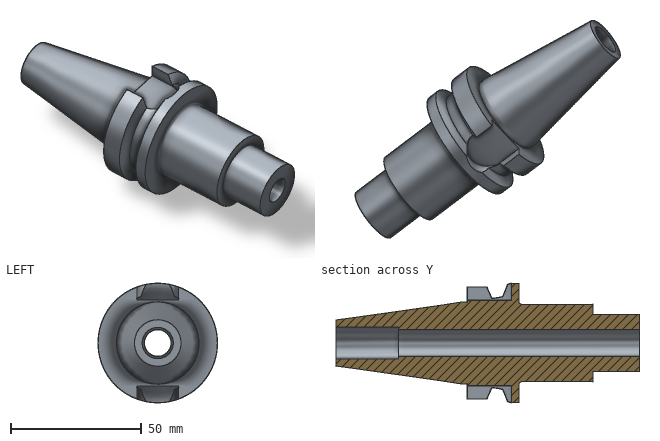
import cadquery as cq
import math

gauge_line_x = 48.4
flange_start_x = gauge_line_x + 2.0
flange_end_x = flange_start_x + 20.0
pilot_length = 17.8
total_length = 116.7
body_end_x = total_length - pilot_length

gauge_radius = 31.75 / 2
small_end_radius = 17.9 / 2
flange_radius = 46.0 / 2
body_radius = 30.0 / 2
pilot_radius = 22.0 / 2
corner_fillet = 1.0

relief_length = 1.0
relief_depth = 0.1

groove_center_x = flange_start_x + 11.6
groove_floor_width = 4.2
groove_depth = 4.0
groove_wall_angle = 25.0
groove_floor_radius = flange_radius - groove_depth
groove_wall_run = groove_depth * math.tan(math.radians(groove_wall_angle))

slot_width = 16.1
slot_end_x = 67.3
slot_floor_height = 16.5

thread_bore_diameter = 12.0
thread_bore_depth = 24.0
coolant_bore_diameter = 10.2


def make_turned_body():
    floor_half = groove_floor_width / 2
    mouth_half = floor_half + groove_wall_run
    body = (
        cq.Workplane("XY")
        .moveTo(0, 0)
        .lineTo(0, small_end_radius)
        .lineTo(gauge_line_x, gauge_radius)
        .lineTo(flange_start_x - relief_length, gauge_radius)
        .lineTo(flange_start_x, gauge_radius - relief_depth)
        .lineTo(flange_start_x, flange_radius)
        .lineTo(groove_center_x - mouth_half, flange_radius)
        .lineTo(groove_center_x - floor_half, groove_floor_radius)
        .lineTo(groove_center_x + floor_half, groove_floor_radius)
        .lineTo(groove_center_x + mouth_half, flange_radius)
        .lineTo(flange_end_x, flange_radius)
        .lineTo(flange_end_x, body_radius + corner_fillet)
        .radiusArc((flange_end_x + corner_fillet, body_radius), -corner_fillet)
        .lineTo(body_end_x, body_radius)
        .lineTo(body_end_x, pilot_radius)
        .lineTo(total_length, pilot_radius)
        .lineTo(total_length, 0)
        .close()
    )
    return body.revolve(360, (0, 0, 0), (1, 0, 0))


def make_drive_slot(side):
    """Round-ended slot; side is +1 for the +Z slot and -1 for the -Z slot."""
    half_width = slot_width / 2
    round_center_x = slot_end_x - half_width
    return (
        cq.Workplane("XY", origin=(0, 0, side * slot_floor_height))
        .moveTo(flange_start_x, -half_width)
        .lineTo(round_center_x, -half_width)
        .threePointArc((slot_end_x, 0), (round_center_x, half_width))
        .lineTo(flange_start_x, half_width)
        .close()
        .extrude(side * flange_radius)
    )


def make_bore(diameter, depth):
    return cq.Workplane("YZ").circle(diameter / 2).extrude(depth)


result = make_turned_body()
for slot_side in (1, -1):
    result = result.cut(make_drive_slot(slot_side))
result = result.cut(make_bore(thread_bore_diameter, thread_bore_depth))
result = result.cut(make_bore(coolant_bore_diameter, total_length))